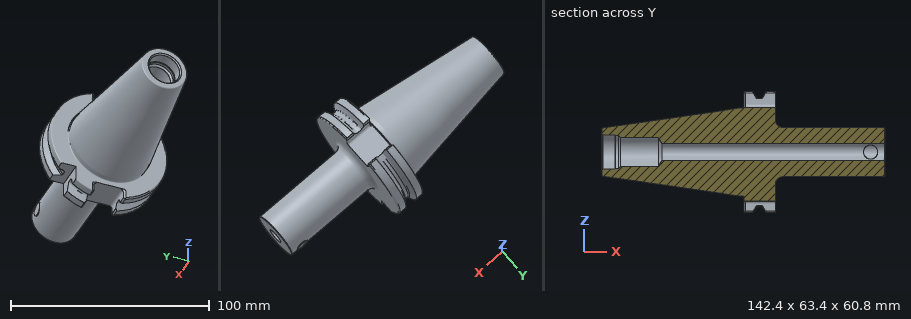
import cadquery as cq
import math

LENGTH = 142.4

TAPER_LENGTH = 68.3
TAPER_RADIUS = 22.2
TAPER_SLOPE = 7 / 48
TIP_ROUND = 0.7
COLLAR_FILLET = 0.5

FLANGE_FRONT = 71.5
FLANGE_WIDTH = 16.0
FLANGE_RADIUS = 31.7
FLANGE_ROUND = 0.7
GROOVE_CENTRE = 79.3
GROOVE_WIDTH = 7.0
GROOVE_DEPTH = 3.5
GROOVE_HALF_ANGLE = math.radians(30)
GROOVE_FILLET = 0.9

SLOT_WIDTH = 16.1
SLOT_CORNER_RADIUS = 1.4
SLOT_RIM_CHAMFER = 0.9
SLOT_MOUTH_FLARE = 1.1
SLOT_MOUTH_DEPTH = 0.9
UPPER_SLOT_FLOOR = 22.5
LOWER_SLOT_FLOOR = 24.8
NOTCH_Y = 18.2
NOTCH_Z = 18.1

SHANK_RADIUS = 12.5
SHANK_FILLET = 3.8
SHANK_CHAMFER = 0.3

MOUTH_RADIUS = 9.1
BORE_RADIUS = 8.4
BORE_DEPTH = 6.7
RELIEF_RADIUS = 8.1
RELIEF_DEPTH = 8.5
THREAD_RADIUS = 7.1
THREAD_DEPTH = 28.5
DRILL_HALF_ANGLE = math.radians(59)
THROUGH_RADIUS = 4.1

SCREW_X = 135.2
SCREW_RADIUS = 3.5

FLANGE_BACK = FLANGE_FRONT + FLANGE_WIDTH


def revolve_about_x(outline):
    """Turn a closed outline of (x, radius) points a full turn about the X axis."""
    return outline.close().revolve(360, (0, 0, 0), (1, 0, 0))


def outer_shape():
    """Taper, collar, plain flange and shank as one turned solid."""
    tip_radius = TAPER_RADIUS - TAPER_SLOPE * TAPER_LENGTH
    round_angle = math.pi / 2 - math.atan(TAPER_SLOPE)
    round_reach = TIP_ROUND * math.tan(round_angle / 2)
    round_end = (
        round_reach * math.sin(round_angle),
        tip_radius + round_reach * math.cos(round_angle),
    )
    outline = (
        cq.Workplane("XY")
        .moveTo(0, 0)
        .lineTo(0, tip_radius - round_reach)
        .radiusArc(round_end, TIP_ROUND)
        .lineTo(TAPER_LENGTH, TAPER_RADIUS)
        .lineTo(FLANGE_FRONT - COLLAR_FILLET, TAPER_RADIUS)
        .radiusArc((FLANGE_FRONT, TAPER_RADIUS + COLLAR_FILLET), -COLLAR_FILLET)
        .lineTo(FLANGE_FRONT, FLANGE_RADIUS - FLANGE_ROUND)
        .radiusArc((FLANGE_FRONT + FLANGE_ROUND, FLANGE_RADIUS), FLANGE_ROUND)
        .lineTo(FLANGE_BACK - FLANGE_ROUND, FLANGE_RADIUS)
        .radiusArc((FLANGE_BACK, FLANGE_RADIUS - FLANGE_ROUND), FLANGE_ROUND)
        .lineTo(FLANGE_BACK, SHANK_RADIUS + SHANK_FILLET)
        .radiusArc((FLANGE_BACK + SHANK_FILLET, SHANK_RADIUS), -SHANK_FILLET)
        .lineTo(LENGTH - SHANK_CHAMFER, SHANK_RADIUS)
        .lineTo(LENGTH, SHANK_RADIUS - SHANK_CHAMFER)
        .lineTo(LENGTH, 0)
    )
    return revolve_about_x(outline)


def groove_ring():
    """Ring that cuts the V groove, with rounded corners at the groove floor."""
    floor_radius = FLANGE_RADIUS - GROOVE_DEPTH
    half_floor = GROOVE_WIDTH / 2 - GROOVE_DEPTH * math.tan(GROOVE_HALF_ANGLE)
    tangent = GROOVE_FILLET * math.tan((math.pi / 2 - GROOVE_HALF_ANGLE) / 2)
    flat_half = half_floor - tangent
    round_half = half_floor + tangent * math.sin(GROOVE_HALF_ANGLE)
    round_radius = floor_radius + tangent * math.cos(GROOVE_HALF_ANGLE)
    outline = (
        cq.Workplane("XY")
        .moveTo(GROOVE_CENTRE - GROOVE_WIDTH / 2, FLANGE_RADIUS)
        .lineTo(GROOVE_CENTRE - round_half, round_radius)
        .radiusArc((GROOVE_CENTRE - flat_half, floor_radius), -GROOVE_FILLET)
        .lineTo(GROOVE_CENTRE + flat_half, floor_radius)
        .radiusArc((GROOVE_CENTRE + round_half, round_radius), -GROOVE_FILLET)
        .lineTo(GROOVE_CENTRE + GROOVE_WIDTH / 2, FLANGE_RADIUS)
    )
    return revolve_about_x(outline)


def bore():
    """Stepped bore: chamfered mouth, pilot, relief, thread length, drill cone and through hole."""
    relief_start = BORE_DEPTH + BORE_RADIUS - RELIEF_RADIUS
    thread_start = RELIEF_DEPTH + RELIEF_RADIUS - THREAD_RADIUS
    cone_end = THREAD_DEPTH + (THREAD_RADIUS - THROUGH_RADIUS) / math.tan(DRILL_HALF_ANGLE)
    outline = (
        cq.Workplane("XY")
        .moveTo(0, 0)
        .lineTo(0, MOUTH_RADIUS)
        .lineTo(MOUTH_RADIUS - BORE_RADIUS, BORE_RADIUS)
        .lineTo(BORE_DEPTH, BORE_RADIUS)
        .lineTo(relief_start, RELIEF_RADIUS)
        .lineTo(RELIEF_DEPTH, RELIEF_RADIUS)
        .lineTo(thread_start, THREAD_RADIUS)
        .lineTo(THREAD_DEPTH, THREAD_RADIUS)
        .lineTo(cone_end, THROUGH_RADIUS)
        .lineTo(LENGTH, THROUGH_RADIUS)
        .lineTo(LENGTH, 0)
    )
    return revolve_about_x(outline)


def slot_section(x, width, floor):
    """Closed slot outline in the plane at x, rounded at the floor corners and open past the rim."""
    half = width / 2
    corner = SLOT_CORNER_RADIUS
    return (
        cq.Workplane("YZ", origin=(x, 0, 0))
        .moveTo(-half, FLANGE_RADIUS)
        .lineTo(-half, floor + corner)
        .radiusArc((-half + corner, floor), -corner)
        .lineTo(half - corner, floor)
        .radiusArc((half, floor + corner), -corner)
        .lineTo(half, FLANGE_RADIUS)
        .close()
    )


def drive_slot(floor, turn):
    """Slot through the flange, flared at its front mouth and chamfered along the rim."""
    slot = slot_section(FLANGE_FRONT, SLOT_WIDTH, floor).extrude(FLANGE_WIDTH)
    wide_end = slot_section(FLANGE_FRONT, SLOT_WIDTH + 2 * SLOT_MOUTH_FLARE, floor).wires().val()
    narrow_end = slot_section(FLANGE_FRONT + SLOT_MOUTH_DEPTH, SLOT_WIDTH, floor).wires().val()
    mouth = cq.Solid.makeLoft([wide_end, narrow_end], True)

    half = SLOT_WIDTH / 2
    rim_edge = half + SLOT_RIM_CHAMFER
    rim_height = math.sqrt(FLANGE_RADIUS**2 - rim_edge**2)
    overrun = FLANGE_RADIUS - rim_height
    rim = (
        cq.Workplane("YZ", origin=(FLANGE_FRONT, 0, 0))
        .moveTo(-half, rim_height - SLOT_RIM_CHAMFER)
        .lineTo(half, rim_height - SLOT_RIM_CHAMFER)
        .lineTo(rim_edge + overrun, FLANGE_RADIUS)
        .lineTo(-rim_edge - overrun, FLANGE_RADIUS)
        .close()
        .extrude(FLANGE_WIDTH)
    )
    return slot.union(mouth).union(rim).rotate((0, 0, 0), (1, 0, 0), turn)


def corner_notch():
    """Square notch through the flange at +Y, -Z, open past the rim."""
    size = FLANGE_RADIUS
    block = cq.Workplane("XY").box(FLANGE_WIDTH, size, size, centered=False)
    return block.translate((FLANGE_FRONT, NOTCH_Y, -NOTCH_Z - size))


def screw_cylinder():
    """Cylinder along Y at the set screw, from the bore axis out to y = SHANK_RADIUS."""
    return (
        cq.Workplane("XZ", origin=(SCREW_X, 0, 0))
        .circle(SCREW_RADIUS)
        .extrude(-SHANK_RADIUS)
    )


def make_holder():
    """Tool holder: the turned shape with its groove, slots, notch, bore and screw hole."""
    body = outer_shape().cut(groove_ring())
    for floor, turn in ((UPPER_SLOT_FLOOR, 0), (LOWER_SLOT_FLOOR, 180)):
        body = body.cut(drive_slot(floor, turn))
    return body.cut(corner_notch()).cut(bore()).cut(screw_cylinder())


def make_set_screw():
    """Set screw filling its hole from the through hole to the shank surface."""
    through_hole = cq.Workplane("YZ").circle(THROUGH_RADIUS).extrude(LENGTH)
    return screw_cylinder().cut(through_hole)


holder = make_holder()
set_screw = make_set_screw()
result = cq.Compound.makeCompound([holder.val(), set_screw.val()])